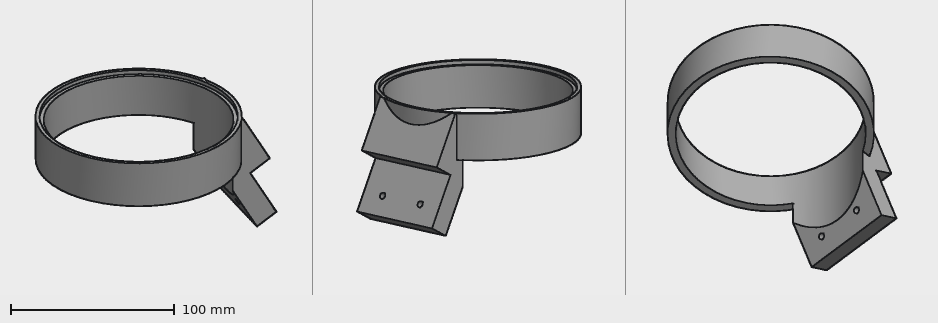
import cadquery as cq
import math

ring_diameter = 126.0
ring_height = 29.5
bore_radius = 58.0
recess_radius = 60.5
recess_depth = 2.5

bracket_width = 60.0
bracket_reach = 141.7 - ring_diameter / 2
lean = math.radians(30)
plate_thickness = 15.0
face_length = 34.8
step_depth = 15.0

hole_diameter = 4.0
hole_spacing = 30.0
hole_edge_distance = 13.0

ring_radius = ring_diameter / 2
slope_y, slope_z = math.sin(lean), -math.cos(lean)
inward_y, inward_z = -math.cos(lean), -math.sin(lean)


def move(point, down=0.0, inward=0.0):
    """Move a (Y, Z) point down the slope and inward through the plate."""
    y, z = point
    return (
        y + down * slope_y + inward * inward_y,
        z + down * slope_z + inward * inward_z,
    )


top_y = bracket_reach - 2 * face_length * slope_y - step_depth * inward_y
top_edge = (top_y, ring_height)
step_outer = move(top_edge, down=face_length)
step_inner = move(step_outer, inward=step_depth)
lower_outer = move(step_inner, down=face_length)
lower_inner = move(lower_outer, inward=plate_thickness)

side_y = math.sqrt(bore_radius**2 - (bracket_width / 2) ** 2)
inner_rise = (lower_inner[0] - side_y) / slope_y
inner_corner = move(lower_inner, down=-inner_rise)


def make_bracket():
    profile = [
        top_edge,
        step_outer,
        step_inner,
        lower_outer,
        lower_inner,
        inner_corner,
        (side_y, ring_height),
    ]
    return cq.Workplane("YZ").polyline(profile).close().extrude(bracket_width / 2, both=True)


def make_screw_holes():
    start_y, start_z = move(lower_inner, down=-hole_edge_distance)
    plane = cq.Plane(
        origin=(0, start_y, start_z),
        xDir=(1, 0, 0),
        normal=(0, -inward_y, -inward_z),
    )
    centers = [(-hole_spacing / 2, 0), (hole_spacing / 2, 0)]
    return cq.Workplane(plane).pushPoints(centers).circle(hole_diameter / 2).extrude(plate_thickness)


def make_bore():
    depth = ring_height - lower_inner[1]
    return cq.Workplane("XY").workplane(offset=lower_inner[1]).circle(bore_radius).extrude(depth)


def make_recess():
    floor = ring_height - recess_depth
    return cq.Workplane("XY").workplane(offset=floor).circle(recess_radius).extrude(recess_depth)


ring = cq.Workplane("XY").circle(ring_radius).extrude(ring_height)
body = ring.union(make_bracket())
result = body.cut(make_bore()).cut(make_recess()).cut(make_screw_holes())